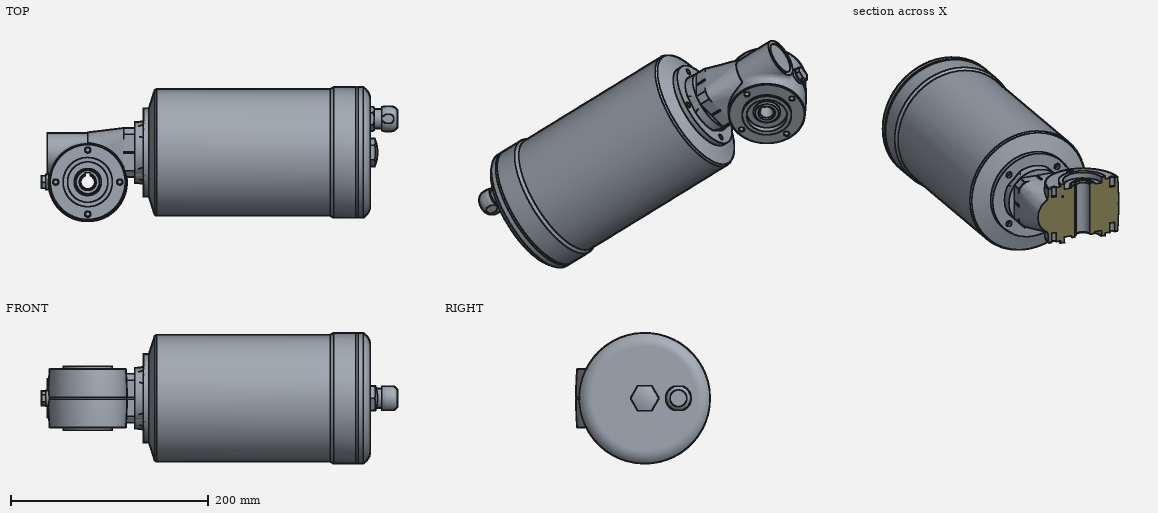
import cadquery as cq
import math

CENTRE_DISTANCE = 30.0

HOUSING_MID_RADIUS = 40.0
HOUSING_END_RADIUS = 38.8
HOUSING_HALF_HEIGHT = 30.0
HOUSING_EDGE_CHAMFER = 0.8
SEAM_GROOVE_WIDTH = 1.6
SEAM_GROOVE_DEPTH = 0.3
COVER_DIAMETER = 50.0
COVER_HALF_HEIGHT = 32.5
RECESS_DIAMETER = 41.0
RECESS_DEPTH = 6.0
HUB_DIAMETER = 27.5
HUB_HEIGHT = 2.0
HUB_CHAMFER = 1.8
BORE_DIAMETER = 14.0
BORE_CHAMFER = 1.5
KEY_WIDTH = 5.0
KEY_TOP = 9.3
COVER_BOLT_RADIUS = 32.5
COVER_BOLT_DIAMETER = 4.92
COVER_BOLT_MOUTH_DIAMETER = 6.0
COVER_BOLT_DEPTH = 10.0

WORM_DIAMETER = 40.0
WORM_START = -41.3
WORM_TUBE_END = 50.0
WORM_PLUG_DIAMETER = 32.5
WORM_PLUG_INSET = 0.5
WORM_BLEND_RADIUS = 5.5
NECK_ROOT_SIDE = 41.2
NECK_ROOT_CORNER_RADIUS = 20.5
NECK_SIDE = 50.0
NECK_CHAMFER = 6.5
NECK_TAPER_CORNER_RADIUS = 11.0
NECK_TAPER_END = 36.5

FLANGE_START = 47.7
FLANGE_FRONT_RADIUS = 31.0
FLANGE_REAR_RADIUS = 32.0
SCREW_HEAD_CLEARANCE = 15.2
FLANGE_FLAT_DISTANCE = 30.6

COLLAR_START = 56.6
COLLAR_END = 62.0
COLLAR_DIAMETER = 90.0
FACE_BOLT_OFFSET = 26.8
FACE_BOLT_DIAMETER = 6.0
FACE_BOLT_DEPTH = 5.0
SHELL_DIAMETER = 129.0
NOSE_END = 67.8
NOSE_END_RADIUS = 63.3
SHELL_START = 70.0
CAP_START = 246.0
CAP_DIAMETER = 133.0
CAP_LEAD_LENGTH = 3.8
SEAM_DIAMETER = 132.98
SEAM_START = 272.2
SEAM_END = 274.4
CAP_STRAIGHT_END = 279.8
CAP_SHOULDER = 282.0
CAP_SHOULDER_RADIUS = 64.5
REAR_FACE = 287.0
REAR_FACE_RADIUS = 53.5

NUT_ACROSS_FLATS = 25.0
NUT_HEIGHT = 7.4
NUT_DOME_RADIUS = 35.0

GLAND_OFFSET = 34.2
GLAND_HEX_CORNERS = 25.0
GLAND_HEX_HEIGHT = 4.0
GLAND_HEX_TOP_RADIUS = 11.0
GLAND_NECK_DIAMETER = 20.0
GLAND_CAP_START = 298.3
GLAND_CAP_EDGE_RADIUS = 12.2
GLAND_BAND_START = 302.6
GLAND_BAND_END = 307.0
GLAND_BAND_RADIUS = 13.0
GLAND_SHOULDER = 311.2
GLAND_SHOULDER_RADIUS = 11.9
GLAND_END = 314.5
GLAND_END_DIAMETER = 17.0
GLAND_FLAT_DISTANCE = 12.2

PLUG_HEAD_START = -47.0
PLUG_HEAD_ACROSS_FLATS = 13.0
PLUG_WASHER_START = -42.5
PLUG_WASHER_DIAMETER = 16.0
PLUG_EMBED = 3.0


def hex_corners(across_flats):
    return across_flats * 2 / math.sqrt(3)


def at_x(x, y=CENTRE_DISTANCE):
    """Sketch plane facing +X, with its origin at height 0; local x is Y and local y is Z."""
    return cq.Workplane("YZ", origin=(x, y, 0))


def rod(start, end, diameter, y=CENTRE_DISTANCE):
    return at_x(start, y).circle(diameter / 2).extrude(end - start)


def turned_about_x(points, y):
    """Revolve an (x, radius) outline about the X-parallel axis at the given y."""
    outline = cq.Workplane("XY", origin=(0, y, 0)).polyline(points).close()
    return outline.revolve(360, (0, 0, 0), (1, 0, 0))


def face_bolt_pattern(x):
    spacing = 2 * FACE_BOLT_OFFSET
    return at_x(x).rect(spacing, spacing, forConstruction=True).vertices()


def housing_barrel():
    barrel = (
        cq.Workplane("XZ")
        .moveTo(0, -HOUSING_HALF_HEIGHT)
        .lineTo(HOUSING_END_RADIUS, -HOUSING_HALF_HEIGHT)
        .threePointArc((HOUSING_MID_RADIUS, 0), (HOUSING_END_RADIUS, HOUSING_HALF_HEIGHT))
        .lineTo(0, HOUSING_HALF_HEIGHT)
        .close()
        .revolve(360, (0, 0, 0), (0, 1, 0))
    )
    return barrel.faces("|Z").edges().chamfer(HOUSING_EDGE_CHAMFER)


def seam_groove():
    """Ring along the parting line at mid height of the housing."""
    return (
        cq.Workplane("XY")
        .circle(HOUSING_MID_RADIUS)
        .circle(HOUSING_MID_RADIUS - SEAM_GROOVE_DEPTH)
        .extrude(SEAM_GROOVE_WIDTH / 2, both=True)
    )


def worm_tube():
    return rod(WORM_START, WORM_TUBE_END, WORM_DIAMETER)


def blended_housing():
    """Barrel and worm tube with a fillet where they meet; the seam shows only clear of the tube."""
    half_height = WORM_DIAMETER / 2 + WORM_BLEND_RADIUS
    tube_zone = cq.selectors.BoxSelector(
        (WORM_START, -HOUSING_MID_RADIUS, -half_height),
        (WORM_TUBE_END, HOUSING_MID_RADIUS, half_height),
    )
    body = housing_barrel().union(worm_tube())
    body = body.edges(tube_zone).edges("%BSPLINE").fillet(WORM_BLEND_RADIUS)
    tube_clearance = rod(WORM_START, WORM_TUBE_END, WORM_DIAMETER + 2 * WORM_BLEND_RADIUS)
    return body.cut(seam_groove().cut(tube_clearance))


def neck_taper():
    """Nearly round at the output axis, widening to a rounded square at the neck block."""
    root = cq.Sketch().rect(NECK_ROOT_SIDE, NECK_ROOT_SIDE).vertices().fillet(NECK_ROOT_CORNER_RADIUS)
    tip = cq.Sketch().rect(NECK_SIDE, NECK_SIDE).vertices().fillet(NECK_TAPER_CORNER_RADIUS)
    tip = tip.moved(cq.Location(cq.Vector(0, 0, NECK_TAPER_END)))
    return at_x(0).placeSketch(root, tip).loft(ruled=True)


def neck_block():
    """Chamfered square block with a seam groove along the middle of each side."""
    length = FLANGE_START - NECK_TAPER_END
    block = at_x(NECK_TAPER_END).rect(NECK_SIDE, NECK_SIDE).extrude(length)
    block = block.edges("|X").chamfer(NECK_CHAMFER)
    groove_floor = NECK_SIDE - 2 * SEAM_GROOVE_DEPTH
    core = at_x(NECK_TAPER_END).rect(groove_floor, groove_floor).extrude(length)
    for width, height in ((NECK_SIDE, SEAM_GROOVE_WIDTH), (SEAM_GROOVE_WIDTH, NECK_SIDE)):
        slab = at_x(NECK_TAPER_END).rect(width, height).extrude(length)
        block = block.cut(slab.cut(core))
    return block


def flange():
    length = COLLAR_START - FLANGE_START
    disc = turned_about_x(
        [
            (FLANGE_START, 0),
            (FLANGE_START, FLANGE_FRONT_RADIUS),
            (COLLAR_START, FLANGE_REAR_RADIUS),
            (COLLAR_START, 0),
        ],
        CENTRE_DISTANCE,
    )
    diagonal_flats = (
        at_x(FLANGE_START)
        .transformed(rotate=(0, 0, 45))
        .rect(2 * FLANGE_FLAT_DISTANCE, 2 * FLANGE_FLAT_DISTANCE)
        .extrude(length)
    )
    screw_clearance = face_bolt_pattern(FLANGE_START).circle(SCREW_HEAD_CLEARANCE / 2).extrude(length)
    return disc.intersect(diagonal_flats).cut(screw_clearance)


def motor():
    shell_radius = SHELL_DIAMETER / 2
    collar_radius = COLLAR_DIAMETER / 2
    cap_radius = CAP_DIAMETER / 2
    seam_radius = SEAM_DIAMETER / 2
    body = (
        cq.Workplane("XY", origin=(0, CENTRE_DISTANCE, 0))
        .moveTo(REAR_FACE, 0)
        .lineTo(REAR_FACE, REAR_FACE_RADIUS)
        .tangentArcPoint((CAP_SHOULDER, CAP_SHOULDER_RADIUS), relative=False)
        .lineTo(CAP_STRAIGHT_END, cap_radius)
        .lineTo(SEAM_END, cap_radius)
        .lineTo(SEAM_END, seam_radius)
        .lineTo(SEAM_START, seam_radius)
        .lineTo(SEAM_START, cap_radius)
        .lineTo(CAP_START + CAP_LEAD_LENGTH, cap_radius)
        .lineTo(CAP_START, shell_radius)
        .lineTo(SHELL_START, shell_radius)
        .lineTo(NOSE_END, NOSE_END_RADIUS)
        .lineTo(COLLAR_END, collar_radius)
        .lineTo(COLLAR_START, collar_radius)
        .lineTo(COLLAR_START, 0)
        .close()
        .revolve(360, (0, 0, 0), (1, 0, 0))
    )
    bolt_holes = face_bolt_pattern(COLLAR_START).circle(FACE_BOLT_DIAMETER / 2).extrude(FACE_BOLT_DEPTH)
    return body.cut(bolt_holes)


def rear_nut():
    prism = at_x(REAR_FACE).polygon(6, hex_corners(NUT_ACROSS_FLATS)).extrude(NUT_HEIGHT)
    dome_centre = REAR_FACE + NUT_HEIGHT - NUT_DOME_RADIUS
    dome = cq.Workplane("XY").sphere(NUT_DOME_RADIUS).translate((dome_centre, CENTRE_DISTANCE, 0))
    return prism.intersect(dome)


def cable_gland():
    y = CENTRE_DISTANCE + GLAND_OFFSET
    hex_end = REAR_FACE + GLAND_HEX_HEIGHT
    hex_base = at_x(REAR_FACE, y).polygon(6, GLAND_HEX_CORNERS).extrude(GLAND_HEX_HEIGHT)
    corner_radius = GLAND_HEX_CORNERS / 2
    corner_cone = turned_about_x(
        [
            (REAR_FACE, 0),
            (REAR_FACE, corner_radius),
            (hex_end - (corner_radius - GLAND_HEX_TOP_RADIUS), corner_radius),
            (hex_end, GLAND_HEX_TOP_RADIUS),
            (hex_end, 0),
        ],
        y,
    )
    stem = rod(hex_end, GLAND_CAP_START, GLAND_NECK_DIAMETER, y)
    cap = (
        cq.Workplane("XY", origin=(0, y, 0))
        .moveTo(GLAND_CAP_START, 0)
        .lineTo(GLAND_CAP_START, GLAND_CAP_EDGE_RADIUS)
        .lineTo(GLAND_BAND_START, GLAND_BAND_RADIUS)
        .lineTo(GLAND_BAND_END, GLAND_BAND_RADIUS)
        .threePointArc((GLAND_SHOULDER, GLAND_SHOULDER_RADIUS), (GLAND_END, GLAND_END_DIAMETER / 2))
        .lineTo(GLAND_END, 0)
        .close()
        .revolve(360, (0, 0, 0), (1, 0, 0))
    )
    flats = (
        at_x(GLAND_CAP_START, y)
        .rect(2 * GLAND_CAP_EDGE_RADIUS + GLAND_BAND_RADIUS, 2 * GLAND_FLAT_DISTANCE)
        .extrude(GLAND_END - GLAND_CAP_START)
    )
    return hex_base.intersect(corner_cone).union(stem).union(cap.intersect(flats))


def oil_plug():
    washer = rod(PLUG_WASHER_START, -HOUSING_END_RADIUS + PLUG_EMBED, PLUG_WASHER_DIAMETER, 0)
    head = (
        at_x(PLUG_HEAD_START, 0)
        .transformed(rotate=(0, 0, 90))
        .polygon(6, hex_corners(PLUG_HEAD_ACROSS_FLATS))
        .extrude(PLUG_WASHER_START - PLUG_HEAD_START)
    )
    return head.union(washer)


def covers():
    return cq.Workplane("XY").circle(COVER_DIAMETER / 2).extrude(COVER_HALF_HEIGHT, both=True)


def cover_cuts():
    """Recess around the hub, bore mouth and bolt holes of the upper cover."""
    floor = COVER_HALF_HEIGHT - RECESS_DEPTH
    recess = (
        cq.Workplane("XY", origin=(0, 0, floor))
        .circle(RECESS_DIAMETER / 2)
        .extrude(RECESS_DEPTH)
    )
    hub = (
        cq.Workplane("XY", origin=(0, 0, floor))
        .circle(HUB_DIAMETER / 2)
        .extrude(HUB_HEIGHT)
        .faces(">Z")
        .edges()
        .chamfer(HUB_CHAMFER)
    )
    bore_mouth = cq.Workplane(
        cq.Solid.makeCone(
            BORE_DIAMETER / 2,
            BORE_DIAMETER / 2 + BORE_CHAMFER,
            BORE_CHAMFER,
            cq.Vector(0, 0, floor + HUB_HEIGHT - BORE_CHAMFER),
        )
    )
    mouth_depth = (COVER_BOLT_MOUTH_DIAMETER - COVER_BOLT_DIAMETER) / 2
    bolts = cq.Workplane("XY", origin=(0, 0, HOUSING_HALF_HEIGHT)).polarArray(COVER_BOLT_RADIUS, 0, 360, 4)
    holes = bolts.circle(COVER_BOLT_DIAMETER / 2).extrude(-COVER_BOLT_DEPTH)
    mouths = bolts.circle(COVER_BOLT_MOUTH_DIAMETER / 2).extrude(-mouth_depth, taper=45)
    return recess.cut(hub).union(bore_mouth).union(holes).union(mouths)


def keyed_bore():
    bore = cq.Workplane("XY").circle(BORE_DIAMETER / 2).extrude(COVER_HALF_HEIGHT, both=True)
    keyway = cq.Workplane("XY").box(KEY_WIDTH, KEY_TOP, 2 * COVER_HALF_HEIGHT, centered=(True, False, True))
    return bore.union(keyway)


def gearbox():
    body = blended_housing().union(neck_taper()).union(neck_block())
    body = body.union(covers()).union(oil_plug())
    plug_recess = rod(WORM_START, WORM_START + WORM_PLUG_INSET, WORM_PLUG_DIAMETER)
    upper_cuts = cover_cuts()
    return body.cut(plug_recess).cut(upper_cuts).cut(upper_cuts.mirror("XY")).cut(keyed_bore())


result = gearbox().union(flange()).union(motor()).union(rear_nut()).union(cable_gland())